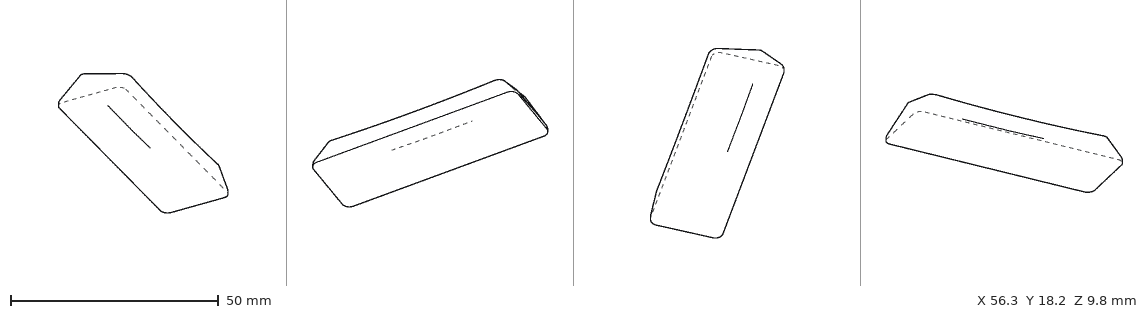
import cadquery as cq
import math

length = 56.25
width = 18.2
skirt_height = 0.7
bend_height = 1.0
bend_top = 1.35
front_lean = 0.44
back_lean = 0.074
corner_radius = 1.95

top_length = 48.1
top_mid_height = 8.45
top_slope = 0.29
dish_depth = 0.6
rim_radius = 0.35

wall_overrun = 1.2

corner_signs = ((-1, -1), (1, -1), (1, 1), (-1, 1))


def outline_at(z):
    """Four sharp corners of the full-size footprint at height z."""
    return [cq.Vector(side * length / 2, end * width / 2, z) for side, end in corner_signs]


def rim_corners():
    """Four sharp corners where the leaning walls meet the sloping plane of the top."""
    corners = []
    for side, end in corner_signs:
        y_per_height = front_lean if end < 0 else -back_lean
        base_y = end * width / 2
        rise_above_base = top_mid_height - bend_height - top_slope * base_y
        rise = rise_above_base / (1 + top_slope * y_per_height)
        rim_y = base_y + y_per_height * rise
        corners.append(cq.Vector(side * top_length / 2, rim_y, bend_height + rise))
    return corners


def between(start, end, fraction):
    """Point at a fraction of the way from start to end; above 1 it lies beyond end."""
    return start + (end - start) * fraction


def rounded_wire(corners):
    """Closed outline through flat corners, rounded by the corner radius."""
    face = cq.Face.makeFromWires(cq.Wire.makePolygon(corners, close=True))
    return face.fillet2D(corner_radius, face.Vertices()).outerWire()


def make_body():
    """Skirt, tangent bend and leaning walls, with the walls running past the top."""
    skirt_bottom = outline_at(0)
    skirt_top = outline_at(skirt_height)
    bend = outline_at(bend_height)
    rim = rim_corners()
    wall_bottom = [between(b, r, (bend_top - bend_height) / (r.z - b.z)) for b, r in zip(bend, rim)]
    wall_top = [between(b, r, wall_overrun) for b, r in zip(bend, rim)]

    bend_middle = [between(between(s, w, 0.5), b, 0.5) for s, b, w in zip(skirt_top, bend, wall_bottom)]

    skirt = cq.Solid.makeLoft([rounded_wire(skirt_bottom), rounded_wire(skirt_top)], True)
    rounding = cq.Solid.makeLoft([rounded_wire(c) for c in (skirt_top, bend_middle, wall_bottom)])
    walls = cq.Solid.makeLoft([rounded_wire(wall_bottom), rounded_wire(wall_top)], True)
    return cq.Workplane(obj=skirt).union(cq.Workplane(obj=rounding)).union(cq.Workplane(obj=walls))


def make_dish_cutter():
    """Everything above a shallow cylinder whose axis follows the slope of the top."""
    half_chord = top_length / 2
    dish_radius = (half_chord**2 + dish_depth**2) / (2 * dish_depth)
    reach = length / 2
    edge_height = math.sqrt(dish_radius**2 - half_chord**2) - math.sqrt(dish_radius**2 - reach**2)
    across_dish = cq.Plane(
        origin=(0, 0, top_mid_height),
        xDir=(1, 0, 0),
        normal=(0, -1, top_slope),
    )
    return (
        cq.Workplane(across_dish)
        .moveTo(-reach, edge_height)
        .threePointArc((0, -dish_depth), (reach, edge_height))
        .lineTo(reach, top_mid_height)
        .lineTo(-reach, top_mid_height)
        .close()
        .extrude(width, both=True)
    )


body = make_body().cut(make_dish_cutter())

dish_middle = (0, 0, top_mid_height - dish_depth)
dish_face = cq.selectors.NearestToPointSelector(dish_middle)
result = body.faces(dish_face).edges().fillet(rim_radius)